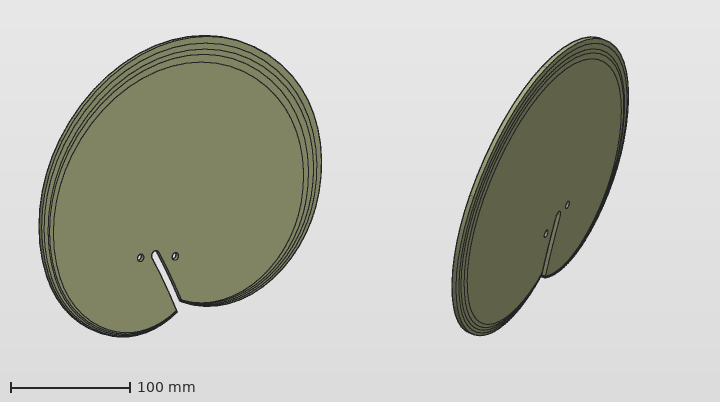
import cadquery as cq
import math

THICKNESS = 4.0
PLATE_PLANE = cq.Plane(origin=(THICKNESS / 2, 0, 0), xDir=(0, -1, 0), normal=(-1, 0, 0))

ARC_SWEEP = 53.0
START_HEADING = -36.0
START_U = 3.0
CORE_START_Z = -108.5
START_Z_STEP = -0.5

CORE_RADII = (72.0, 91.1, 119.0, 134.5, 131.8, 110.0, 91.1, 90.5)
RING_RADII = (
    (73.8, 94.6, 121.3, 141.1, 134.6, 115.5, 92.5, 96.6),
    (75.5, 94.1, 127.0, 142.0, 141.1, 114.6, 98.4, 96.5),
    (77.0, 98.3, 128.2, 146.9, 143.9, 119.7, 99.4, 97.9),
    (78.0, 100.5, 131.7, 150.8, 147.9, 122.1, 104.2, 98.3),
)

SLOT_WIDTH = 8.0
SLOT_TOP = (27.0, -58.6)
SLOT_TILT_AT_TOP = 29.8
SLOT_ARC_RADIUS = 560.0
SLOT_ARC_LENGTH = 75.0

HOLE_DIAMETER = 6.4
HOLE_CENTERS = ((6.5, -62.9), (42.3, -58.4))


def arc_point(start, heading, radius, turn):
    """Point reached from start along an arc that turns left by the given angle, in degrees."""
    first = math.radians(heading)
    last = math.radians(heading + turn)
    return (
        start[0] + radius * (math.sin(last) - math.sin(first)),
        start[1] - radius * (math.cos(last) - math.cos(first)),
    )


def outline_plate(index, radii):
    """Solid plate filling outline number `index`, counted outward from the core."""
    point = (START_U, CORE_START_Z + index * START_Z_STEP)
    heading = START_HEADING
    sketch = cq.Workplane(PLATE_PLANE).moveTo(*point)
    for radius in radii:
        middle = arc_point(point, heading, radius, ARC_SWEEP / 2)
        point = arc_point(point, heading, radius, ARC_SWEEP)
        sketch = sketch.threePointArc(middle, point)
        heading += ARC_SWEEP
    return sketch.close().extrude(THICKNESS)


def slot_cutter():
    """Curved, round-ended slot; its lower end lies outside the plate."""
    turn = math.degrees(SLOT_ARC_LENGTH / SLOT_ARC_RADIUS)
    heading = -90.0 - SLOT_TILT_AT_TOP
    middle = arc_point(SLOT_TOP, heading, SLOT_ARC_RADIUS, turn / 2)
    bottom = arc_point(SLOT_TOP, heading, SLOT_ARC_RADIUS, turn)
    centerline = cq.Workplane(PLATE_PLANE).moveTo(*SLOT_TOP).threePointArc(middle, bottom)
    return centerline.offset2D(SLOT_WIDTH / 2).extrude(THICKNESS)


def hole_cutter():
    """Two round through holes, one on each side of the slot's upper end."""
    return cq.Workplane(PLATE_PLANE).pushPoints(HOLE_CENTERS).circle(HOLE_DIAMETER / 2).extrude(THICKNESS)


slot = slot_cutter()

core_plate = outline_plate(0, CORE_RADII)
core_disc = core_plate.cut(slot).cut(hole_cutter())

rings = []
inner_plate = core_plate
for ring_number, ring_radii in enumerate(RING_RADII, start=1):
    outer_plate = outline_plate(ring_number, ring_radii)
    rings.append(outer_plate.cut(inner_plate).cut(slot).val())
    inner_plate = outer_plate

result = cq.Compound.makeCompound([core_disc.val(), *rings])